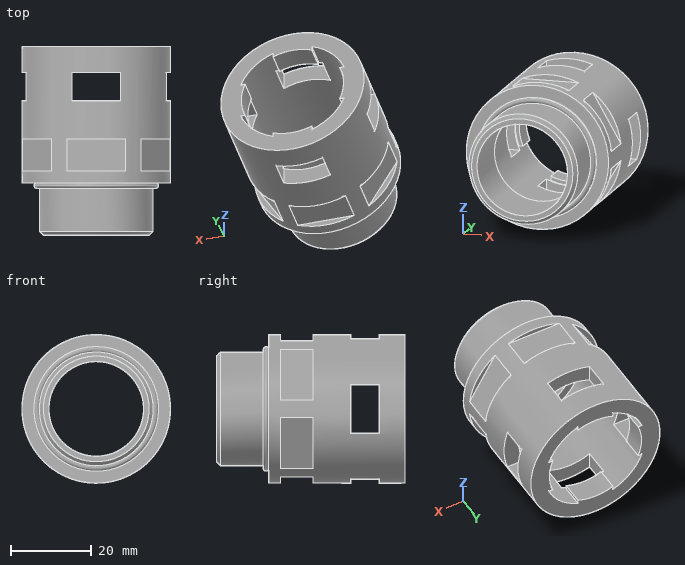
import cadquery as cq

TOTAL_LENGTH = 47.0
BODY_LENGTH = 34.0
BODY_START = TOTAL_LENGTH - BODY_LENGTH

BODY_DIAMETER = 37.0
SPIGOT_DIAMETER = 28.3
SPIGOT_CHAMFER = 1.0
THROUGH_BORE_DIAMETER = 23.5
SOCKET_DIAMETER = 28.4
SOCKET_DEPTH = 32.0

RING_OUTER_DIAMETER = 31.0
RING_SECTION_DIAMETER = 1.5
RING_SHOULDER_OFFSET = 0.6
RING_CENTRE_Y = BODY_START - RING_SHOULDER_OFFSET

ACROSS_FLATS = 34.0
FLATS_LENGTH = 8.0
FLATS_START = BODY_START + 3.0
FLAT_COUNT = 6

WINDOW_WIDTH = 12.0
WINDOW_LENGTH = 7.0
WINDOW_END_MARGIN = 6.5
WINDOW_COUNT = 4

TAB_WIDTH = 10.0
TAB_INNER_DIAMETER = 26.4
TAB_ROOT_DIAMETER = (BODY_DIAMETER + SOCKET_DIAMETER) / 2
TAB_SETBACK = 0.5
TAB_LENGTH = WINDOW_END_MARGIN - TAB_SETBACK


def cylinder_along_y(diameter, start, length):
    """Cylinder on the Y axis, from start towards +Y."""
    return cq.Workplane("XZ", origin=(0, start, 0)).circle(diameter / 2).extrude(-length)


def around_axis(shape, count):
    """Copies of a shape, evenly spaced about the Y axis."""
    step = 360.0 / count
    return [shape.rotate((0, 0, 0), (0, 1, 0), index * step) for index in range(count)]


def make_spigot():
    spigot = cylinder_along_y(SPIGOT_DIAMETER, 0, BODY_START)
    return spigot.faces("<Y").chamfer(SPIGOT_CHAMFER)


def make_sealing_ring():
    section_radius = RING_SECTION_DIAMETER / 2
    centre_radius = RING_OUTER_DIAMETER / 2 - section_radius
    section = cq.Workplane("XY").moveTo(centre_radius, RING_CENTRE_Y).circle(section_radius)
    return section.revolve(360, (0, 0, 0), (0, 1, 0))


def make_flat_cutter():
    """Block removing the body material above one wrench flat."""
    height = BODY_DIAMETER / 2
    block = cq.Workplane("XY").box(BODY_DIAMETER, FLATS_LENGTH, height, centered=(True, False, False))
    return block.translate((0, FLATS_START, ACROSS_FLATS / 2))


def make_window_cutter():
    """Block reaching from the axis out through the socket wall."""
    block = cq.Workplane("XY").box(WINDOW_WIDTH, WINDOW_LENGTH, BODY_DIAMETER, centered=(True, False, False))
    return block.translate((0, TOTAL_LENGTH - WINDOW_END_MARGIN - WINDOW_LENGTH, 0))


def make_tab():
    """Segment of the mouth bore, thickened inwards and bounded by parallel sides."""
    tab_start = TOTAL_LENGTH - TAB_LENGTH
    wall = cylinder_along_y(TAB_ROOT_DIAMETER, tab_start, TAB_LENGTH)
    wall = wall.cut(cylinder_along_y(TAB_INNER_DIAMETER, tab_start, TAB_LENGTH))
    strip_size = (TAB_WIDTH, TAB_LENGTH, TAB_ROOT_DIAMETER / 2)
    strip = cq.Workplane("XY").box(*strip_size, centered=(True, False, False))
    return wall.intersect(strip.translate((0, tab_start, 0)))


turned = cylinder_along_y(BODY_DIAMETER, BODY_START, BODY_LENGTH)
turned = turned.union(make_spigot()).union(make_sealing_ring())
turned = turned.cut(cylinder_along_y(THROUGH_BORE_DIAMETER, 0, TOTAL_LENGTH))
turned = turned.cut(cylinder_along_y(SOCKET_DIAMETER, TOTAL_LENGTH - SOCKET_DEPTH, SOCKET_DEPTH))

result = turned
for cutter in around_axis(make_flat_cutter(), FLAT_COUNT):
    result = result.cut(cutter)

for cutter in around_axis(make_window_cutter(), WINDOW_COUNT):
    result = result.cut(cutter)

for tab in around_axis(make_tab(), WINDOW_COUNT):
    result = result.union(tab)